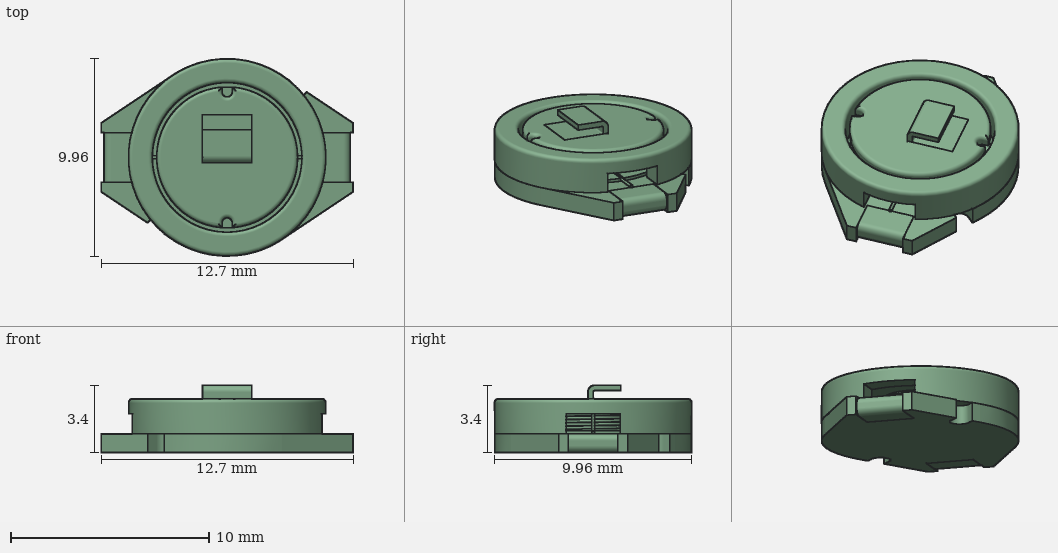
import cadquery as cq
import math

LENGTH = 12.7
BASE_DIAMETER = 9.95
BASE_HEIGHT = 0.95
EAR_HALF_WIDTH = 1.74
EAR_NOTCH_WIDTH = 1.0
EAR_NOTCH_ANGLE = 225
NOTCH_END_DISTANCE = 4.51

STRIP_WIDTH = 2.49
STRIP_THICKNESS = 0.28
BEND_INNER_RADIUS = 0.06
BEND_OUTER_RADIUS = BEND_INNER_RADIUS + STRIP_THICKNESS

TERMINAL_SETBACK = 0.14
TERMINAL_LENGTH = 1.6
TERMINAL_X = TERMINAL_SETBACK - LENGTH / 2
EAR_TURNS = (0, 180)

RING_HEIGHT = 1.77
RING_OUTER_DIAMETER = 9.96
RING_INNER_DIAMETER = 7.55
WINDOW_WIDTH = 2.73
WINDOW_HEIGHT = 1.0
EDGE_RADIUS = 0.2
TOP_Z = BASE_HEIGHT + RING_HEIGHT

DRUM_DIAMETER = 7.11
HUB_DIAMETER = 3.6
UPPER_FLANGE_THICKNESS = 0.51
FLANGE_SLOT_WIDTH = 0.51
FLANGE_SLOT_CENTER = 3.3

WIRE_DIAMETER = 0.15
WIRE_PITCH = 0.17
TURNS = 5.5
LEAD_REACH = 4.67
LEAD_Z = BASE_HEIGHT + WIRE_DIAMETER / 2
LOWER_FLANGE_THICKNESS = WIRE_DIAMETER
COIL_RADIUS = (HUB_DIAMETER + WIRE_PITCH) / 2
COIL_START_Z = LEAD_Z + WIRE_PITCH
COIL_RISE = TURNS * WIRE_PITCH

CLIP_TOP_Z = 3.4
CLIP_FRONT_Y = -0.27
CLIP_ARM_LENGTH = 1.66
CLIP_FOOT_LENGTH = 2.41


def strip_cavity(height, length):
    """Space between the legs of a bent strip, rounded where it meets the bends."""
    inner_height = height - 2 * STRIP_THICKNESS
    inner_length = length - STRIP_THICKNESS
    return (
        cq.Workplane("XY", origin=(STRIP_THICKNESS, 0, STRIP_THICKNESS))
        .box(inner_length, STRIP_WIDTH, inner_height, centered=(False, True, False))
        .edges("<X and |Y")
        .fillet(BEND_INNER_RADIUS)
    )


def bent_strip(height, upper_leg, lower_leg):
    """C-shaped strip, bent edge on the plane x = 0, legs along +X, underside at z = 0."""
    body = cq.Workplane("XY").box(upper_leg, STRIP_WIDTH, height, centered=(False, True, False))
    if lower_leg > upper_leg:
        foot = cq.Workplane("XY").box(lower_leg, STRIP_WIDTH, STRIP_THICKNESS, centered=(False, True, False))
        body = body.union(foot)
    body = body.edges("<X and |Y").fillet(BEND_OUTER_RADIUS)
    return body.cut(strip_cavity(height, lower_leg))


def place_at_ear(shape, turn):
    """Move a shape from the strip position to an ear; turn is 0 for the -X ear and 180 for the +X ear."""
    return shape.translate((TERMINAL_X, 0, 0)).rotate((0, 0, 0), (0, 0, 1), turn)


def make_terminal(turn):
    """Terminal wrapped round the tongue of one ear."""
    return place_at_ear(bent_strip(BASE_HEIGHT, TERMINAL_LENGTH, TERMINAL_LENGTH), turn)


def make_clip():
    """Pickup clip: long foot set flush into the drum, short arm above it."""
    height = CLIP_TOP_Z - TOP_Z + STRIP_THICKNESS
    strip = bent_strip(height, CLIP_ARM_LENGTH, CLIP_FOOT_LENGTH)
    strip = strip.rotate((0, 0, 0), (0, 0, 1), 90)
    return strip.translate((0, CLIP_FRONT_Y, CLIP_TOP_Z - height))


def tangent_point():
    """Point in the +X +Y quadrant where a tapered ear side meets the round edge."""
    radius = BASE_DIAMETER / 2
    corner_distance = math.hypot(LENGTH / 2, EAR_HALF_WIDTH)
    angle = math.atan2(EAR_HALF_WIDTH, LENGTH / 2) + math.acos(radius / corner_distance)
    return radius * math.cos(angle), radius * math.sin(angle)


def ear_notch():
    """Round-ended notch cutter on the diagonal of the -X -Y quadrant, running out past the ear."""
    cutter_length = LENGTH / 2 - NOTCH_END_DISTANCE
    straight = cq.Workplane("XY").box(
        cutter_length, EAR_NOTCH_WIDTH, BASE_HEIGHT, centered=(False, True, False)
    )
    round_end = cq.Workplane("XY").circle(EAR_NOTCH_WIDTH / 2).extrude(BASE_HEIGHT)
    cutter = straight.union(round_end).translate((NOTCH_END_DISTANCE, 0, 0))
    return cutter.rotate((0, 0, 0), (0, 0, 1), EAR_NOTCH_ANGLE)


def make_base():
    tangent_x, tangent_y = tangent_point()
    half_length = LENGTH / 2
    base = (
        cq.Workplane("XY")
        .moveTo(half_length, -EAR_HALF_WIDTH)
        .lineTo(half_length, EAR_HALF_WIDTH)
        .lineTo(tangent_x, tangent_y)
        .threePointArc((0, BASE_DIAMETER / 2), (-tangent_x, tangent_y))
        .lineTo(-half_length, EAR_HALF_WIDTH)
        .lineTo(-half_length, -EAR_HALF_WIDTH)
        .lineTo(-tangent_x, -tangent_y)
        .threePointArc((0, -BASE_DIAMETER / 2), (tangent_x, -tangent_y))
        .close()
        .extrude(BASE_HEIGHT)
    )
    recess_length = TERMINAL_SETBACK + TERMINAL_LENGTH
    recess = cq.Workplane("XY", origin=(-TERMINAL_SETBACK, 0, 0)).box(
        recess_length, STRIP_WIDTH, BASE_HEIGHT, centered=(False, True, False)
    )
    tongue = strip_cavity(BASE_HEIGHT, TERMINAL_LENGTH)
    for turn in EAR_TURNS:
        base = base.cut(place_at_ear(recess, turn)).union(place_at_ear(tongue, turn))
        base = base.cut(ear_notch().rotate((0, 0, 0), (0, 0, 1), turn))
    return base


def make_ring():
    ring = (
        cq.Workplane("XY", origin=(0, 0, BASE_HEIGHT))
        .circle(RING_OUTER_DIAMETER / 2)
        .circle(RING_INNER_DIAMETER / 2)
        .extrude(RING_HEIGHT)
        .faces(">Z")
        .edges()
        .fillet(EDGE_RADIUS)
    )
    window = cq.Workplane("XY", origin=(0, 0, BASE_HEIGHT)).box(
        LENGTH, WINDOW_WIDTH, WINDOW_HEIGHT, centered=(True, True, False)
    )
    return ring.cut(window)


def disc(diameter, bottom_z, height):
    return cq.Workplane("XY", origin=(0, 0, bottom_z)).circle(diameter / 2).extrude(height)


def make_upper_flange(flange_z):
    """Top flange with two round-ended slots running straight out past its edge."""
    flange = disc(DRUM_DIAMETER, flange_z, UPPER_FLANGE_THICKNESS)
    slot_reach = DRUM_DIAMETER / 2 - FLANGE_SLOT_CENTER + FLANGE_SLOT_WIDTH
    for side in (-1, 1):
        slot = (
            cq.Workplane("XY", origin=(0, side * (FLANGE_SLOT_CENTER + slot_reach / 2), flange_z))
            .slot2D(slot_reach + FLANGE_SLOT_WIDTH, FLANGE_SLOT_WIDTH, 90)
            .extrude(UPPER_FLANGE_THICKNESS)
        )
        flange = flange.cut(slot)
    return flange.faces(">Z").edges().fillet(EDGE_RADIUS)


def make_drum(clip):
    """Drum core with a hub between two flanges and a pocket that fits the clip foot."""
    flange_z = TOP_Z - UPPER_FLANGE_THICKNESS
    hub = disc(HUB_DIAMETER, BASE_HEIGHT, flange_z - BASE_HEIGHT)
    lower_flange = disc(DRUM_DIAMETER, BASE_HEIGHT, LOWER_FLANGE_THICKNESS)
    drum = make_upper_flange(flange_z).union(hub).union(lower_flange).cut(clip)

    channel_length = (DRUM_DIAMETER - HUB_DIAMETER) / 2
    channel_x = (DRUM_DIAMETER + HUB_DIAMETER) / 4
    for side in (-1, 1):
        channel = cq.Workplane("XY", origin=(side * channel_x, 0, LEAD_Z)).box(
            channel_length, WIRE_DIAMETER, LOWER_FLANGE_THICKNESS
        )
        drum = drum.cut(channel)
    return drum


def round_wire(start, direction, length):
    wire = cq.Solid.makeCylinder(WIRE_DIAMETER / 2, length, cq.Vector(*start), cq.Vector(*direction))
    return cq.Workplane(wire)


def wire_ends():
    """Straight wire pieces that join the two coil ends to the lead tips."""
    wire_radius = WIRE_DIAMETER / 2
    finish_z = COIL_START_Z + COIL_RISE
    drop_x = COIL_RADIUS + WIRE_PITCH
    start_x = wire_radius - COIL_RADIUS
    return [
        round_wire((-COIL_RADIUS, 0, LEAD_Z), (0, 0, 1), COIL_START_Z - LEAD_Z),
        round_wire((start_x, 0, LEAD_Z), (-1, 0, 0), LEAD_REACH + start_x),
        round_wire((COIL_RADIUS, 0, finish_z), (1, 0, 0), drop_x - COIL_RADIUS),
        round_wire((drop_x, 0, LEAD_Z), (0, 0, 1), finish_z - LEAD_Z),
        round_wire((drop_x, 0, LEAD_Z), (1, 0, 0), LEAD_REACH - drop_x),
    ]


def make_winding():
    """Helical coil whose two ends drop to the base and run out over the terminals."""
    helix = cq.Wire.makeHelix(WIRE_PITCH, COIL_RISE, COIL_RADIUS)
    coil = (
        cq.Workplane("XZ", origin=(COIL_RADIUS, 0, 0))
        .circle(WIRE_DIAMETER / 2)
        .sweep(cq.Workplane(helix), isFrenet=True)
        .rotate((0, 0, 0), (0, 0, 1), 180)
        .translate((0, 0, COIL_START_Z))
    )
    winding = coil
    for piece in wire_ends():
        winding = winding.union(piece)
    return winding


terminals = [make_terminal(turn) for turn in EAR_TURNS]
base = make_base()
ring = make_ring()
clip = make_clip()
drum = make_drum(clip)
winding = make_winding()

result = cq.Compound.makeCompound(
    [
        *[body.solids().val() for body in (base, ring, drum, winding, clip)],
        *[terminal.solids().val() for terminal in terminals],
    ]
)